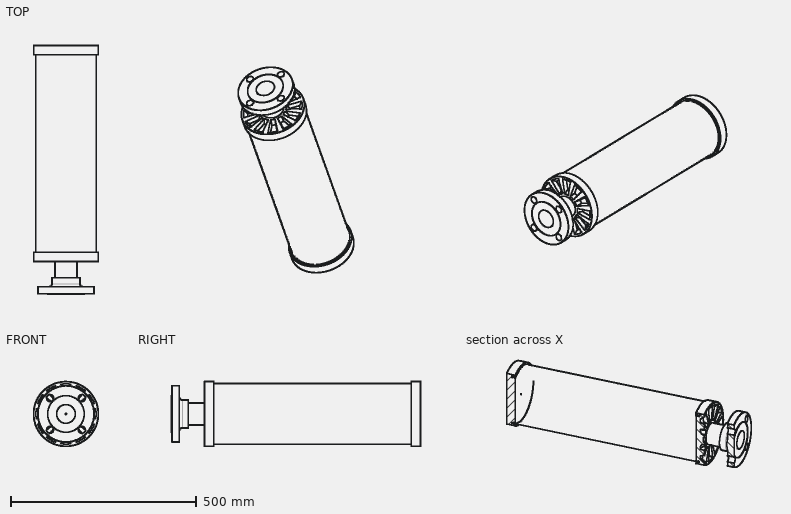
import cadquery as cq
import math

overall_length = 673.0
front_end = -overall_length / 2
rear_end = overall_length / 2

tube_outer_diameter = 165.0
tube_inner_diameter = 160.0

cap_diameter = 176.0
cap_length = 25.5
cap_chamfer = 1.0
groove_outer_diameter = 165.5
groove_inner_diameter = 159.5
groove_depth = 11.0
groove_floor_thickness = cap_length - groove_depth

pocket_count = 12
pocket_outer_radius = 81.5
pocket_inner_radius = 37.0
pocket_depth = 12.0
pocket_end_taper = 36.0
pocket_side_taper = 12.0
pocket_angle = 19.2

flange_diameter = 153.0
flange_thickness = 20.0
flange_chamfer = 1.0
raised_face_diameter = 99.0
raised_face_height = 1.5
hub_diameter = 76.0
hub_length = 24.0
hub_fillet = 7.5
pipe_diameter = 60.5
pipe_length = 43.0
bore_diameter = 50.5

bolt_hole_count = 4
bolt_hole_diameter = 19.0
bolt_circle_diameter = 121.0
first_bolt_angle = 45.0

vent_diameter = 2.0

flange_front = front_end + raised_face_height
flange_back = flange_front + flange_thickness
hub_back = flange_back + hub_length
front_cap_face = hub_back + pipe_length
front_cap_back = front_cap_face + cap_length
rear_cap_start = rear_end - cap_length


def cross_section(y):
    """Plane across the axis at Y = y, extruding toward +Y."""
    return cq.Workplane(cq.Plane(origin=(0, y, 0), xDir=(1, 0, 0), normal=(0, 1, 0)))


def cylinder(diameter, start, length):
    return cross_section(start).circle(diameter / 2).extrude(length)


def chamfered_disc(diameter, start, length, chamfer):
    """Disc with a small chamfer around its front edge."""
    return cylinder(diameter, start, length).faces("<Y").edges().chamfer(chamfer)


def ring(outer_diameter, inner_diameter, start, length):
    return cross_section(start).circle(outer_diameter / 2).circle(inner_diameter / 2).extrude(length)


def tube_groove(start):
    return ring(groove_outer_diameter, groove_inner_diameter, start, groove_depth)


def make_pocket():
    """One pocket: a ring with conical walls, limited by a wedge with tapered sides."""
    end_shift = pocket_depth * math.tan(math.radians(pocket_end_taper))
    pocket_floor = front_cap_face + pocket_depth
    tapered_ring = (
        cq.Workplane("XY")
        .polyline(
            [
                (pocket_inner_radius, front_cap_face),
                (pocket_outer_radius, front_cap_face),
                (pocket_outer_radius - end_shift, pocket_floor),
                (pocket_inner_radius + end_shift, pocket_floor),
            ]
        )
        .close()
        .revolve(360, (0, 0, 0), (0, 1, 0))
    )
    wedge_length = cap_diameter / 2
    wedge_half_width = wedge_length * math.tan(math.radians(pocket_angle / 2))
    wedge = (
        cross_section(front_cap_face)
        .polyline([(0, 0), (wedge_length, -wedge_half_width), (wedge_length, wedge_half_width)])
        .close()
        .extrude(pocket_depth, taper=pocket_side_taper)
    )
    return tapered_ring.intersect(wedge)


def make_inlet():
    """Flange with its raised face and bolt holes, the hub behind it and the pipe."""
    raised_face = cylinder(raised_face_diameter, front_end, raised_face_height)
    flange = chamfered_disc(flange_diameter, flange_front, flange_thickness, flange_chamfer)
    hub = cylinder(hub_diameter, flange_back, hub_length)
    flanged_hub = flange.union(hub)
    hub_root = cq.selectors.RadiusNthSelector(0)
    flanged_hub = flanged_hub.edges(hub_root).edges("<Y").fillet(hub_fillet)
    pipe = cylinder(pipe_diameter, hub_back, pipe_length)
    bolt_holes = (
        cross_section(flange_front)
        .polarArray(bolt_circle_diameter / 2, first_bolt_angle, 360, bolt_hole_count)
        .circle(bolt_hole_diameter / 2)
        .extrude(flange_thickness)
    )
    return flanged_hub.union(raised_face).union(pipe).cut(bolt_holes)


def make_front_cap():
    cap = chamfered_disc(cap_diameter, front_cap_face, cap_length, cap_chamfer)
    cap = cap.union(make_inlet())
    pocket = make_pocket()
    for i in range(pocket_count):
        cap = cap.cut(pocket.rotate((0, 0, 0), (0, 1, 0), i * 360 / pocket_count))
    bore = cylinder(bore_diameter, front_end, front_cap_back - front_end)
    return cap.cut(bore).cut(tube_groove(front_cap_back - groove_depth))


def make_rear_cap():
    cap = cylinder(cap_diameter, rear_cap_start, cap_length)
    vent = cylinder(vent_diameter, rear_cap_start, cap_length)
    return cap.cut(vent).cut(tube_groove(rear_cap_start))


def make_tube():
    start = front_cap_face + groove_floor_thickness
    end = rear_end - groove_floor_thickness
    return ring(tube_outer_diameter, tube_inner_diameter, start, end - start)


tube = make_tube()
front_cap = make_front_cap()
rear_cap = make_rear_cap()
result = cq.Compound.makeCompound([tube.val(), front_cap.val(), rear_cap.val()])